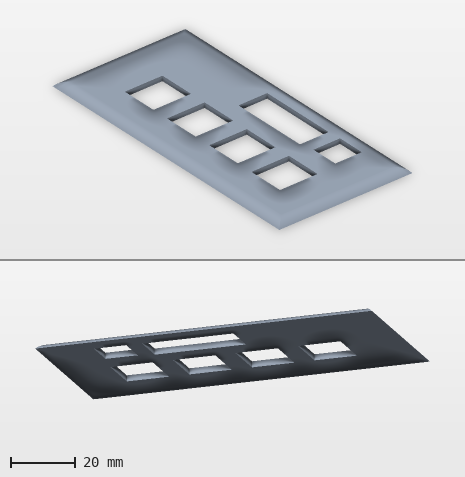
import cadquery as cq
import math

plate_length = 110.0
plate_width = 53.0
plate_thickness = 2.0
border_width = 4.1

window_count = 4
window_length = 13.9
window_height = 15.0
window_pitch = 20.5
window_row_x = 1.8
window_row_y = -5.9

display_length = 29.8
display_height = 11.4
display_center = (7.5, 14.2)
square_side = 10.6
square_center = (32.8, 15.0)

border_radius = (border_width**2 + plate_thickness**2) / (2 * plate_thickness)
half_arc_angle = math.asin(border_width / border_radius) / 2
arc_mid_inset = border_width - border_radius * math.sin(half_arc_angle)
arc_mid_height = plate_thickness - border_radius * (1 - math.cos(half_arc_angle))


def crowned_bar(plane, span, depth):
    """Bar with rounded long edges, extruded symmetrically about the plane."""
    edge = span / 2
    flat_edge = edge - border_width
    arc_mid = edge - arc_mid_inset
    return (
        cq.Workplane(plane)
        .moveTo(-edge, 0)
        .threePointArc((-arc_mid, arc_mid_height), (-flat_edge, plate_thickness))
        .lineTo(flat_edge, plate_thickness)
        .threePointArc((arc_mid, arc_mid_height), (edge, 0))
        .close()
        .extrude(depth / 2, both=True)
    )


def opening(length, height, center):
    """Rectangular cutter through the full plate thickness."""
    return (
        cq.Workplane("XY")
        .center(*center)
        .rect(length, height)
        .extrude(plate_thickness)
    )


lengthwise_profile = crowned_bar("XZ", plate_length, plate_width)
widthwise_profile = crowned_bar("YZ", plate_width, plate_length)
plate = lengthwise_profile.intersect(widthwise_profile)

for index in range(window_count):
    window_x = window_row_x + (index - (window_count - 1) / 2) * window_pitch
    plate = plate.cut(opening(window_length, window_height, (window_x, window_row_y)))

plate = plate.cut(opening(display_length, display_height, display_center))
plate = plate.cut(opening(square_side, square_side, square_center))

result = plate